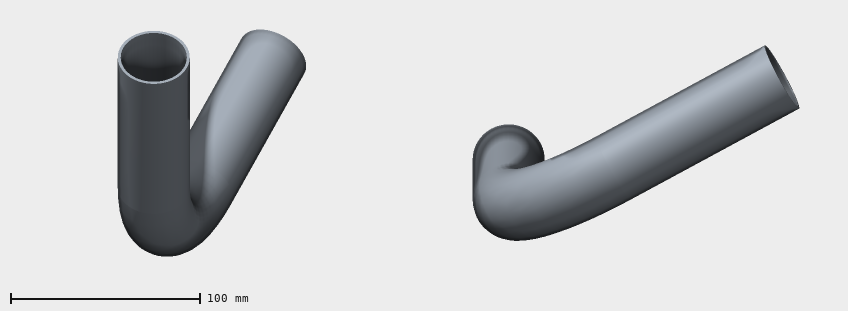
import cadquery as cq
import math

overall_length = 184.2
outer_diameter = 38.1
inner_diameter = 35.0
leg_length = 101.7

outer_radius = outer_diameter / 2
inner_radius = inner_diameter / 2
bend_radius = overall_length - leg_length - outer_radius

axis_end = bend_radius + leg_length
bend_mid = bend_radius * (1 - math.cos(math.radians(45)))
axis_path = (
    cq.Workplane("YZ")
    .moveTo(0, axis_end)
    .lineTo(0, bend_radius)
    .threePointArc((bend_mid, bend_mid), (bend_radius, 0))
    .lineTo(axis_end, 0)
)

result = (
    cq.Workplane("XY", origin=(0, 0, axis_end))
    .circle(outer_radius)
    .circle(inner_radius)
    .sweep(axis_path)
)